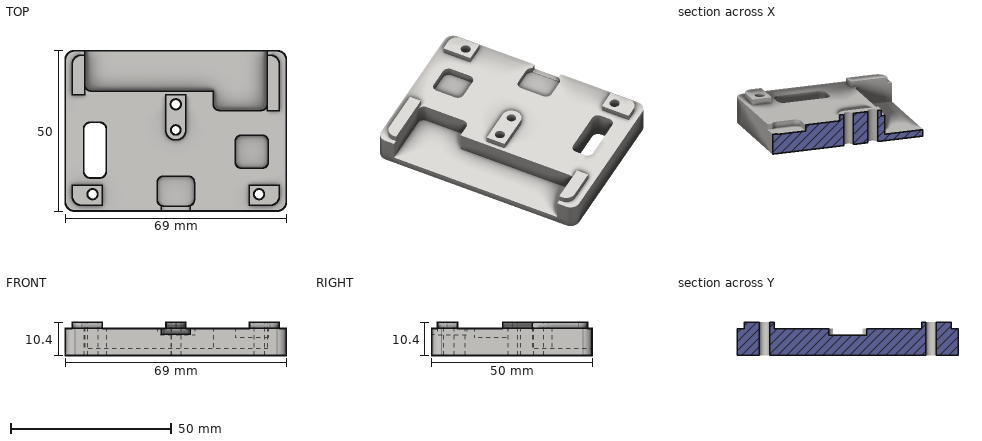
import cadquery as cq

length = 69.0
width = 50.0
height = 10.4
pad_height = 1.9
deck_z = height - pad_height
corner_radius = 3.0

pad_inset_x = 2.2
back_pad_inset = 1.4
front_pad_inset = 1.8
pad_radius = 3.0
pad_x = length / 2 - pad_inset_x
back_pad_y = width / 2 - back_pad_inset
front_pad_y = -width / 2 + front_pad_inset
front_pad_length = 9.4
front_pad_width = 6.35
center_pad_width = 6.2
center_pad_front_y = -2.8
center_pad_back_y = 11.25

wide_hole_diameter = 3.2
narrow_hole_diameter = 3.0
front_hole_x = 25.95
front_hole_y = -19.7
center_front_hole_y = 0.3
center_back_hole_y = 8.3

recess_left_x = -28.35
recess_right_x = 28.5
recess_step_x = 11.65
recess_shallow_y = 12.4
recess_deep_y = 6.35
recess_depth = 6.2
recess_radius = 1.9

window_radius = 2.0
slot_size = (7.0, 17.25)
slot_center = (-25.2, -6.0)
side_pocket_size = (10.35, 10.35)
side_pocket_center = (23.7, -6.5)
side_pocket_depth = 2.75
front_pocket_size = (11.65, 9.3)
front_pocket_center = (0.0, -18.8)
front_pocket_depth = 2.0
notch_width = 9.1
notch_depth = 1.8


def box_between(x0, x1, y0, y1, z0, z1):
    """Box spanning the given limits."""
    return cq.Workplane("XY").box(x1 - x0, y1 - y0, z1 - z0, centered=False).translate((x0, y0, z0))


def side_selector(side, axis):
    """Selector for the outermost shapes on the positive or negative side of an axis."""
    return f">{axis}" if side > 0 else f"<{axis}"


def deck_pad(x0, x1, y0, y1, side_x, side_y):
    """Raised pad with the vertical edge at the given side signs rounded."""
    pad = box_between(x0, x1, y0, y1, deck_z, height)
    corner = pad.faces(side_selector(side_x, "X")).edges("|Z").edges(side_selector(side_y, "Y"))
    return corner.fillet(pad_radius)


def window(size, center, depth):
    """Cutter for a rounded window sunk from the deck."""
    cutter = cq.Workplane("XY").box(*size, depth, centered=(True, True, False))
    return cutter.edges("|Z").fillet(window_radius).translate((*center, deck_z - depth))


def center_pad():
    """Pad with a square back end and a rounded front end."""
    half = center_pad_width / 2
    pad = box_between(-half, half, center_pad_front_y, center_pad_back_y, deck_z, height)
    return pad.faces("<Y").edges("|Z").fillet(pad_radius)


def back_recess():
    """Stepped recess cutter, rounded at its outer front corners."""
    back_y = width / 2
    floor_z = deck_z - recess_depth
    wide = box_between(recess_left_x, recess_right_x, recess_shallow_y, back_y, floor_z, deck_z)
    wide = wide.faces("<X").edges("|Z").edges("<Y").fillet(recess_radius)
    deep = box_between(recess_step_x, recess_right_x, recess_deep_y, back_y, floor_z, deck_z)
    deep = deep.faces("<Y").edges("|Z").fillet(recess_radius)
    return wide.union(deep)


body = cq.Workplane("XY").box(length, width, deck_z, centered=(True, True, False))
body = body.edges("|Z").fillet(corner_radius)

body = body.union(deck_pad(-pad_x, recess_left_x, center_pad_back_y, back_pad_y, -1, 1))
body = body.union(deck_pad(recess_right_x, pad_x, recess_deep_y, back_pad_y, 1, 1))
front_pad_back_y = front_pad_y + front_pad_width
body = body.union(deck_pad(-pad_x, -pad_x + front_pad_length, front_pad_y, front_pad_back_y, -1, -1))
body = body.union(deck_pad(pad_x - front_pad_length, pad_x, front_pad_y, front_pad_back_y, 1, -1))
body = body.union(center_pad())

body = body.cut(back_recess())
body = body.cut(window(slot_size, slot_center, deck_z))
body = body.cut(window(side_pocket_size, side_pocket_center, side_pocket_depth))
body = body.cut(window(front_pocket_size, front_pocket_center, front_pocket_depth))
notch_back_y = front_pocket_center[1]
body = body.cut(
    box_between(-notch_width / 2, notch_width / 2, -width / 2, notch_back_y, deck_z - notch_depth, deck_z)
)

wide_points = [(-front_hole_x, front_hole_y), (front_hole_x, front_hole_y), (0, center_back_hole_y)]
wide_holes = cq.Workplane("XY").pushPoints(wide_points).circle(wide_hole_diameter / 2).extrude(height)
narrow_hole = cq.Workplane("XY").center(0, center_front_hole_y).circle(narrow_hole_diameter / 2).extrude(height)
result = body.cut(wide_holes).cut(narrow_hole)